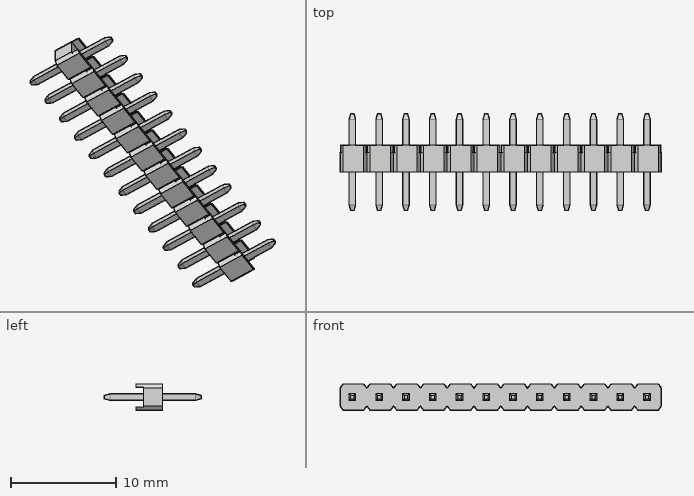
import cadquery as cq

pin_count = 12
pitch = 2.54
row_length = pin_count * pitch
housing_depth = 2.54
housing_height = 2.5
chamfer_width = 0.3
chamfer_height = 0.395

channel_depth = 0.7
lip_thickness = 0.33
channel_height = housing_height - 2 * lip_thickness

pin_width = 0.64
pin_length = 9.2
pin_front_reach = 3.66
pin_offset = -0.1
tip_length = 0.547
tip_width = pin_width / 2

front_tip_y = -pin_front_reach
back_tip_y = front_tip_y + pin_length
shank_length = pin_length - 2 * tip_length
cell_centers = [(i - (pin_count - 1) / 2) * pitch for i in range(pin_count)]


def section_plane(x, y, facing):
    """Plane square to Y at (x, y), facing along +Y (1) or -Y (-1)."""
    return cq.Plane(origin=(x, y, 0), xDir=(1, 0, 0), normal=(0, facing, 0))


def make_cell(x):
    """One housing block with chamfered long edges, centred on x."""
    half_width = pitch / 2
    half_height = housing_height / 2
    flat_half_width = half_width - chamfer_width
    side_half_height = half_height - chamfer_height
    outline = [
        (-flat_half_width, half_height),
        (flat_half_width, half_height),
        (half_width, side_half_height),
        (half_width, -side_half_height),
        (flat_half_width, -half_height),
        (-flat_half_width, -half_height),
        (-half_width, -side_half_height),
        (-half_width, side_half_height),
    ]
    front_face = cq.Workplane(section_plane(x, 0, 1))
    return front_face.polyline(outline).close().extrude(housing_depth)


def make_housing():
    """All cells joined, with the channel cut along the whole back face."""
    housing = make_cell(cell_centers[0])
    for x in cell_centers[1:]:
        housing = housing.union(make_cell(x))
    channel = cq.Workplane("XY").box(row_length, channel_depth, channel_height)
    return housing.cut(channel.translate((0, housing_depth - channel_depth / 2, 0)))


def make_tip(x, y, facing):
    """Tapered pin end that starts at y and narrows outwards."""
    base = cq.Workplane(section_plane(x, y, facing)).rect(pin_width, pin_width)
    return base.workplane(offset=tip_length).rect(tip_width, tip_width).loft(ruled=True)


def make_pin(x):
    """Square shank with a tapered tip at each end."""
    shank_start_y = front_tip_y + tip_length
    shank_end_y = back_tip_y - tip_length
    shank = (
        cq.Workplane(section_plane(x, shank_start_y, 1))
        .rect(pin_width, pin_width)
        .extrude(shank_length)
    )
    front_tip = make_tip(x, shank_start_y, -1)
    back_tip = make_tip(x, shank_end_y, 1)
    return shank.union(front_tip).union(back_tip)


result = make_housing()
for cell_x in cell_centers:
    result = result.union(make_pin(cell_x + pin_offset))